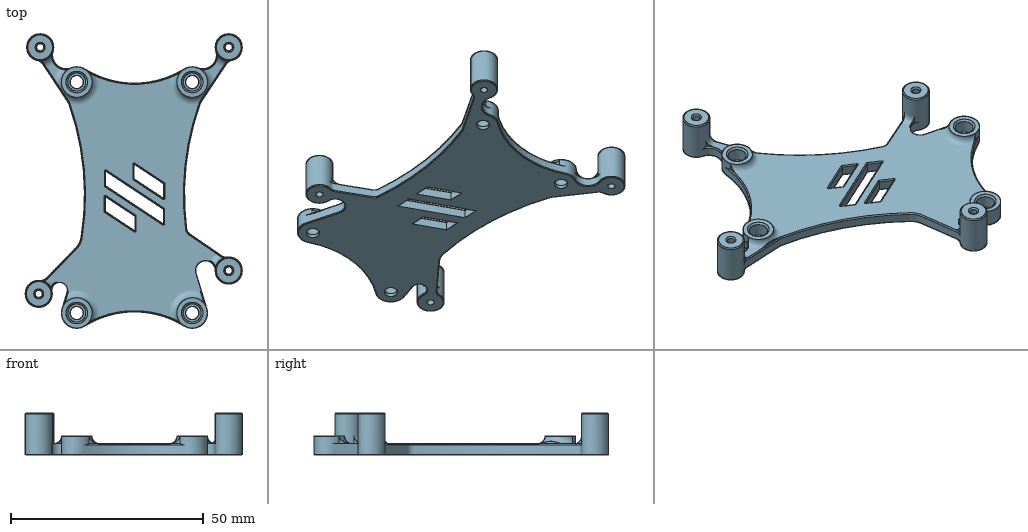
import cadquery as cq
import math

plate_top = 3.0
boss_top = 5.0
post_top = 11.0
edge_chamfer = 0.3
bottom_chamfer = 0.2

boss_x = 15.0
boss_y = 30.0
boss_radius = 4.0
boss_hole = 3.4
head_bore = 4.7
head_bore_floor = 1.0
head_bore_chamfer = 0.45

post_radius = 3.5
post_hole = 1.8
post_hole_chamfer = 0.4
post_x = 24.5
upper_post_y = 39.0
right_post_y = upper_post_y - 58.0
left_post = (-24.9, -25.0)

flare = boss_top - plate_top
small_blend = 2.0
arm_blend = 3.5
left_knee_blend = 5.0
right_knee_blend = 2.0
left_notch = 2.0
right_notch = 2.5

upper_post_angle = -79
right_post_angle = 97
left_post_angle = 84
right_notch_angle = 180
left_notch_angle = 10

side_radius = 70.4
waist = 13.0
waist_y = 0.8
end_y = 29.7
shoulder_y = 24.3
left_knee_y = -10.4
right_knee_y = -8.1

slot_height = 3.8
slot_width = 15.0
short_slot_width = 7.65
short_slot_x = 3.75
short_slot_y = 4.2
slot_slope = 0.66
slot_chamfer = 0.3

touching = 0.01

upper_left_boss = (-boss_x, boss_y)
upper_right_boss = (boss_x, boss_y)
lower_left_boss = (-boss_x, -boss_y)
lower_right_boss = (boss_x, -boss_y)
bosses = [upper_left_boss, upper_right_boss, lower_left_boss, lower_right_boss]

upper_left_post = (-post_x, upper_post_y)
upper_right_post = (post_x, upper_post_y)
right_post = (post_x, right_post_y)
posts = [upper_left_post, upper_right_post, right_post, left_post]


def offset_point(center, distance, degrees):
    angle = math.radians(degrees)
    return center[0] + distance * math.cos(angle), center[1] + distance * math.sin(angle)


def mirrored(point):
    return -point[0], point[1]


def blend_center(first, first_distance, second, second_distance):
    """Point at the given distances from two centres, to the left of first -> second."""
    dx, dy = second[0] - first[0], second[1] - first[1]
    span = math.hypot(dx, dy)
    along = (first_distance**2 - second_distance**2 + span**2) / (2 * span)
    aside = math.sqrt(first_distance**2 - along**2)
    return (
        first[0] + (along * dx - aside * dy) / span,
        first[1] + (along * dy + aside * dx) / span,
    )


def side_blend_center(side, radius, y):
    """Centre of a blend that touches the concave side from within at height y."""
    rise = math.asin((y - waist_y) / side_radius)
    reach = side_radius - radius
    x = side * (waist + side_radius - reach * math.cos(rise))
    return x, waist_y + reach * math.sin(rise)


def tangent_points(start, end):
    """Ends of the line tangent to two directed circles (positive radius = clockwise)."""
    (x0, y0), r0 = start
    (x1, y1), r1 = end
    span = math.hypot(x1 - x0, y1 - y0)
    tilt = math.asin(max(-1.0, min(1.0, (r0 - r1) / span)))
    normal = math.atan2(y1 - y0, x1 - x0) + math.pi / 2 - tilt
    nx, ny = math.cos(normal), math.sin(normal)
    return (x0 + r0 * nx, y0 + r0 * ny), (x1 + r1 * nx, y1 + r1 * ny)


def arc_middle(center, radius, start, end):
    """Middle of the counterclockwise arc from start to end."""
    first = math.atan2(start[1] - center[1], start[0] - center[0])
    last = math.atan2(end[1] - center[1], end[0] - center[0])
    middle = first + (last - first) % (2 * math.pi) / 2
    return center[0] + radius * math.cos(middle), center[1] + radius * math.sin(middle)


def belt(circles, inset=0.0):
    """Closed clockwise outline along directed circles and their tangent lines, moved in by the inset.

    Negative radii are concave arcs. Positive radii are columns: there the outline turns at
    the centre, as the column itself supplies the round wall.
    """
    circles = [(center, radius - inset) for center, radius in circles]
    count = len(circles)
    links = [tangent_points(circles[i - 1], circles[i]) for i in range(count)]
    outline = cq.Workplane("XY").moveTo(*circles[0][0])
    for i in range(1, count):
        center, radius = circles[i]
        leave_previous, arrive = links[i]
        if circles[i - 1][1] > 0:
            outline = outline.lineTo(*leave_previous)
        if math.dist(leave_previous, arrive) > touching:
            outline = outline.lineTo(*arrive)
        if radius > 0:
            outline = outline.lineTo(*center)
        else:
            leave = links[(i + 1) % count][0]
            outline = outline.threePointArc(arc_middle(center, -radius, arrive, leave), leave)
    return outline.lineTo(*links[0][1]).close()


def outline_circles():
    """Directed circles of the outline, clockwise from the upper left post."""
    end_gap = boss_y - end_y
    end_radius = (boss_x**2 + end_gap**2 - boss_radius**2) / (2 * (boss_radius + end_gap))
    end_center_y = end_y + end_radius
    side_center_x = waist + side_radius
    left_arm = blend_center(
        upper_left_post, post_radius + arm_blend, upper_left_boss, boss_radius + arm_blend
    )
    post_reach = post_radius + small_blend
    upper_blend = offset_point(upper_right_post, post_reach, upper_post_angle)
    shoulder = side_blend_center(1, small_blend, shoulder_y)
    return [
        (upper_left_post, post_radius),
        (left_arm, -arm_blend),
        (upper_left_boss, boss_radius),
        ((0, end_center_y), -end_radius),
        (upper_right_boss, boss_radius),
        (mirrored(left_arm), -arm_blend),
        (upper_right_post, post_radius),
        (upper_blend, -small_blend),
        (shoulder, -small_blend),
        ((side_center_x, waist_y), -side_radius),
        (side_blend_center(1, right_knee_blend, right_knee_y), -right_knee_blend),
        (offset_point(right_post, post_reach, right_post_angle), -small_blend),
        (right_post, post_radius),
        (offset_point(right_post, post_radius + right_notch, right_notch_angle), -right_notch),
        (lower_right_boss, boss_radius),
        ((0, -end_center_y), -end_radius),
        (lower_left_boss, boss_radius),
        (offset_point(left_post, post_radius + left_notch, left_notch_angle), -left_notch),
        (left_post, post_radius),
        (offset_point(left_post, post_reach, left_post_angle), -small_blend),
        (side_blend_center(-1, left_knee_blend, left_knee_y), -left_knee_blend),
        ((-side_center_x, waist_y), -side_radius),
        (mirrored(shoulder), -small_blend),
        (mirrored(upper_blend), -small_blend),
    ]


def flare_ring(radius):
    """Disc whose concave rim widens from a column's wall down to the plate."""
    profile = (
        cq.Workplane("XZ")
        .moveTo(0, plate_top)
        .lineTo(radius + flare, plate_top)
        .radiusArc((radius, plate_top + flare), flare)
        .lineTo(0, plate_top + flare)
        .close()
    )
    return profile.revolve(360, (0, 0, 0), (0, 1, 0))


def bore(diameter, floor, top, rim_chamfer):
    """Cutter for a round bore from floor to top, with a chamfered upper rim."""
    radius = diameter / 2
    profile = (
        cq.Workplane("XZ")
        .moveTo(0, floor)
        .lineTo(radius, floor)
        .lineTo(radius, top - rim_chamfer)
        .lineTo(radius + rim_chamfer, top)
        .lineTo(0, top)
        .close()
    )
    return profile.revolve(360, (0, 0, 0), (0, 1, 0))


def slot(width, center):
    """Cutter for a through slot whose long edges fall towards +X, with a chamfered upper rim."""
    half = width / 2
    drop = half * slot_slope
    rise = slot_height / 2
    corners = [(-half, drop - rise), (-half, drop + rise), (half, rise - drop), (half, -rise - drop)]
    shaft = cq.Workplane("XY").polyline(corners).close().extrude(plate_top)
    rim = cq.Workplane("XY").workplane(offset=plate_top - slot_chamfer).polyline(corners).close()
    return shaft.union(rim.extrude(slot_chamfer, taper=-45)).translate(center)


circles = outline_circles()
result = belt(circles).extrude(plate_top)
for center in bosses:
    result = result.union(cq.Workplane("XY").circle(boss_radius).extrude(boss_top).translate(center))
for center in posts:
    post = cq.Workplane("XY").circle(post_radius).extrude(post_top).faces(">Z").chamfer(edge_chamfer)
    result = result.union(post.translate(center))

side_y = (shoulder_y + right_knee_y) / 2
arm_x = (boss_x + post_x) / 2
arm_y = (boss_y + upper_post_y) / 2
rim_points = [
    (waist, side_y),
    (0, end_y),
    (0, -end_y),
    (-waist, side_y),
    (arm_x, arm_y),
    (-arm_x, arm_y),
]
for x, y in rim_points:
    rim = cq.selectors.NearestToPointSelector((x, y, plate_top))
    result = result.edges(rim).chamfer(edge_chamfer)

flare_limit = belt(circles, edge_chamfer).extrude(boss_top)
for center in bosses:
    result = result.union(flare_ring(boss_radius).translate(center).intersect(flare_limit))
for center in posts:
    result = result.union(flare_ring(post_radius).translate(center).intersect(flare_limit))

result = result.faces("<Z").chamfer(bottom_chamfer)

for center in bosses:
    result = result.cut(cq.Workplane("XY").circle(boss_hole / 2).extrude(boss_top).translate(center))
    result = result.cut(bore(head_bore, head_bore_floor, boss_top, head_bore_chamfer).translate(center))
for center in posts:
    result = result.cut(bore(post_hole, 0, post_top, post_hole_chamfer).translate(center))

result = result.cut(slot(slot_width, (0, 0)))
for side in (-1, 1):
    result = result.cut(slot(short_slot_width, (side * short_slot_x, side * short_slot_y)))